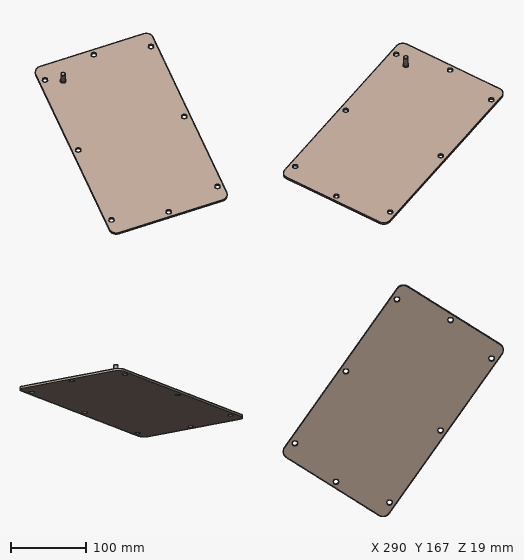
import cadquery as cq

plate_length = 290.0
plate_width = 167.0
plate_thickness = 3.2
corner_radius = 10.0

hole_diameter = 7.2
hole_row_x = 122.0
hole_row_y = 75.5
end_hole_x = 137.2

overall_height = 19.0
stud_x = -112.0
stud_y = -53.6
stud_diameter = 6.0
stud_chamfer = 0.5
flange_diameter = 7.8
flange_thickness = 1.0
stud_height = overall_height - plate_thickness


def make_plate():
    """Rounded plate resting on Z = 0, with its eight through holes."""
    hole_points = [(x, y) for x in (-hole_row_x, 0, hole_row_x) for y in (-hole_row_y, hole_row_y)]
    hole_points += [(-end_hole_x, 0), (end_hole_x, 0)]
    return (
        cq.Workplane("XY")
        .box(plate_length, plate_width, plate_thickness, centered=(True, True, False))
        .edges("|Z")
        .fillet(corner_radius)
        .faces(">Z")
        .workplane()
        .pushPoints(hole_points)
        .hole(hole_diameter)
    )


def make_stud():
    """Stud with a chamfered tip and a thin flange at its foot."""
    base = cq.Workplane("XY", origin=(stud_x, stud_y, plate_thickness))
    shank = base.circle(stud_diameter / 2).extrude(stud_height).faces(">Z").chamfer(stud_chamfer)
    flange = base.circle(flange_diameter / 2).extrude(flange_thickness)
    return shank.union(flange)


result = make_plate().union(make_stud())